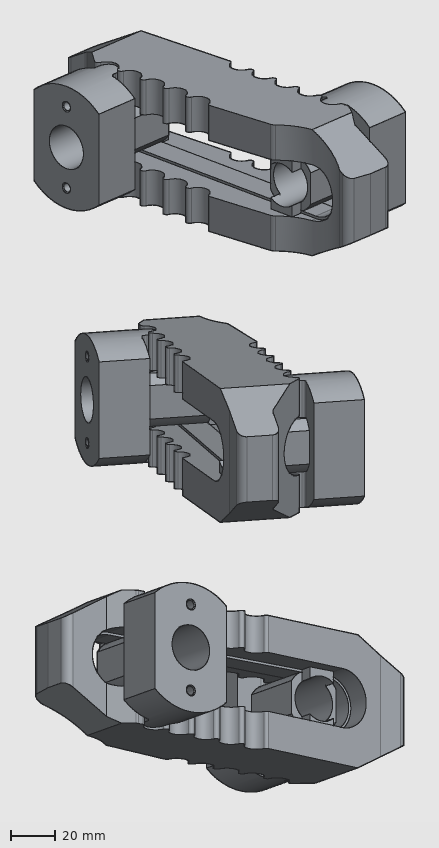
import cadquery as cq
import math


ARM_LENGTH = 187.0
ARM_HEIGHT = 62.0
ARM_HALF_WIDTH = 21.1
ARM_END = ARM_LENGTH / 2

GROOVE_RADIUS = 5.52
GROOVE_DEPTH = 5.2
GROOVE_PITCH = 14.0
GROOVE_COUNT = 5
NUT_OFFSET_X = 49.5

LEFT_TOP_Y = 17.5
LEFT_BOTTOM_Y = -2.0
TOP_TAPER_X = -78.5
LEFT_SLOPE_ANGLE = 40.0
LEFT_SLOPE_ROUND = 3.2

RIGHT_TOP_Y = 13.0
RIGHT_SLOPE_TOP_X = 59.7
RIGHT_SLOPE_FOOT_X = 70.9
RIGHT_SLOPE_ROUND = 1.9
END_TAPER_Y = -0.7
TOE_X = 92.2
TOE_Y = -14.0
TOE_INNER_ROUND = 2.5
HOLLOW_X = 70.1
HOLLOW_RADIUS = 30.0
HOLLOW_TOP_Y = -8.8
HOLLOW_START_X = 49.0
HOLLOW_START_ROUND = 3.7
END_ROUND = 4.0

TAPER_START_X = 65.5
END_HALF_HEIGHT = 15.1

SLOT_WIDTH = 25.0
SLOT_WIDE_WIDTH = 27.5
SLOT_LEFT_X = -56.5
SLOT_RIGHT_X = 65.0
LIP_HALF_WIDTH = 6.4

HEAD_DIAMETER = 60.0
HEAD_WIDTH = 40.0
OVERALL_WIDTH = 96.0
HEAD_OUTER_Y = OVERALL_WIDTH / 2
HEAD_INNER_Y = 24.3
RIB_FILLET = 1.5
PIN_WIDTH = 24.7
PIN_DIAMETER = 29.2
HOOK_WIDTH = 13.0
HOOK_LENGTH = 6.0
BORE_DIAMETER = 21.0
SCREW_HOLE_DIAMETER = 4.1
SCREW_HOLE_DEPTH = 9.4
SCREW_HOLE_OFFSET = 20.0
SCREW_SINK_DIAMETER = 5.0
SCREW_SINK_ANGLE = 90.0
DRILL_POINT_ANGLE = 118.0

GROOVE_BOTTOM_Y = ARM_HALF_WIDTH - GROOVE_DEPTH
GROOVE_CENTER_Y = GROOVE_BOTTOM_Y + GROOVE_RADIUS
HALF_PITCH = GROOVE_PITCH / 2
CREST_DROP = GROOVE_CENTER_Y - ARM_HALF_WIDTH
CREST_RADIUS = (HALF_PITCH**2 + CREST_DROP**2 - GROOVE_RADIUS**2) / (2 * (GROOVE_RADIUS - CREST_DROP))
CREST_CENTER_Y = ARM_HALF_WIDTH - CREST_RADIUS
CREST_ARC_ANGLE = math.atan2(HALF_PITCH, GROOVE_CENTER_Y - CREST_CENTER_Y)

OUTER_CREST_OFFSET = NUT_OFFSET_X + HALF_PITCH
BOTTOM_TEETH_LEFT_X = -OUTER_CREST_OFFSET
TOP_TEETH_RIGHT_X = OUTER_CREST_OFFSET


def crest_point(apex_x, side, angle):
    """Point on a crest arc, at an angle in radians from its apex toward +X."""
    x = apex_x + CREST_RADIUS * math.sin(angle)
    y = CREST_CENTER_Y + CREST_RADIUS * math.cos(angle)
    return (x, side * y)


def add_teeth(outline, side, first_apex_x, direction):
    """Extend an outline by all grooves of one side, from crest apex to crest apex.

    side is 1 for the +Y side and -1 for the -Y side; direction is 1 toward +X, -1 toward -X.
    """
    turn = direction * CREST_ARC_ANGLE
    for index in range(GROOVE_COUNT):
        start_x = first_apex_x + direction * index * GROOVE_PITCH
        end_x = start_x + direction * GROOVE_PITCH
        groove_bottom = (start_x + direction * HALF_PITCH, side * GROOVE_BOTTOM_Y)
        outline = (
            outline.threePointArc(crest_point(start_x, side, turn / 2), crest_point(start_x, side, turn))
            .threePointArc(groove_bottom, crest_point(end_x, side, -turn))
            .threePointArc(crest_point(end_x, side, -turn / 2), crest_point(end_x, side, 0))
        )
    return outline


def arm_blank():
    """Toothed outline extruded over the arm's height, with its corners rounded."""
    slope_angle = math.radians(LEFT_SLOPE_ANGLE)
    slope_foot = crest_point(BOTTOM_TEETH_LEFT_X, -1, -slope_angle)
    slope_head_x = slope_foot[0] - (LEFT_BOTTOM_Y - slope_foot[1]) / math.tan(slope_angle)
    slope_head = (slope_head_x, LEFT_BOTTOM_Y)
    hollow_center_y = HOLLOW_TOP_Y - HOLLOW_RADIUS
    hollow_start_rise = math.sqrt(HOLLOW_RADIUS**2 - (HOLLOW_X - HOLLOW_START_X) ** 2)
    hollow_start = (HOLLOW_START_X, hollow_center_y + hollow_start_rise)
    toe_inner_x = HOLLOW_X + math.sqrt(HOLLOW_RADIUS**2 - (TOE_Y - hollow_center_y) ** 2)
    toe_inner = (toe_inner_x, TOE_Y)
    toe_outer = (TOE_X, TOE_Y)
    slope_top = (RIGHT_SLOPE_TOP_X, ARM_HALF_WIDTH)

    outline = (
        cq.Workplane("XY", origin=(0, 0, -ARM_HEIGHT / 2))
        .moveTo(-ARM_END, LEFT_TOP_Y)
        .lineTo(-ARM_END, LEFT_BOTTOM_Y)
        .lineTo(*slope_head)
        .lineTo(*slope_foot)
        .threePointArc(
            crest_point(BOTTOM_TEETH_LEFT_X, -1, -slope_angle / 2),
            crest_point(BOTTOM_TEETH_LEFT_X, -1, 0),
        )
    )
    outline = add_teeth(outline, -1, BOTTOM_TEETH_LEFT_X, 1)
    outline = (
        outline.lineTo(*hollow_start)
        .threePointArc((HOLLOW_X, HOLLOW_TOP_Y), toe_inner)
        .lineTo(*toe_outer)
        .lineTo(ARM_END, END_TAPER_Y)
        .lineTo(ARM_END, RIGHT_TOP_Y)
        .lineTo(RIGHT_SLOPE_FOOT_X, RIGHT_TOP_Y)
        .lineTo(*slope_top)
        .lineTo(TOP_TEETH_RIGHT_X, ARM_HALF_WIDTH)
    )
    outline = add_teeth(outline, 1, TOP_TEETH_RIGHT_X, -1)
    blank = outline.lineTo(TOP_TAPER_X, LEFT_TOP_Y).close().extrude(ARM_HEIGHT)

    rounded_corners = [
        ((-ARM_END, LEFT_TOP_Y), END_ROUND),
        ((-ARM_END, LEFT_BOTTOM_Y), END_ROUND),
        (slope_head, LEFT_SLOPE_ROUND),
        (hollow_start, HOLLOW_START_ROUND),
        (toe_inner, TOE_INNER_ROUND),
        (toe_outer, END_ROUND),
        ((ARM_END, RIGHT_TOP_Y), END_ROUND),
        (slope_top, RIGHT_SLOPE_ROUND),
    ]
    for (x, y), radius in rounded_corners:
        blank = blank.edges(cq.selectors.NearestToPointSelector((x, y, 0))).fillet(radius)
    return blank


def arm_taper_block():
    """Block with both ends tapered in height, over the arm's full width."""
    half_height = ARM_HEIGHT / 2
    return (
        cq.Workplane("XZ")
        .polyline([
            (-ARM_END, -END_HALF_HEIGHT),
            (-TAPER_START_X, -half_height),
            (TAPER_START_X, -half_height),
            (ARM_END, -END_HALF_HEIGHT),
            (ARM_END, END_HALF_HEIGHT),
            (TAPER_START_X, half_height),
            (-TAPER_START_X, half_height),
            (-ARM_END, END_HALF_HEIGHT),
        ])
        .close()
        .extrude(ARM_HALF_WIDTH, both=True)
    )


def slot_cutter(width, start_y, end_y):
    """Slot of a given width between two Y planes."""
    center_x = (SLOT_LEFT_X + SLOT_RIGHT_X) / 2
    full_length = SLOT_RIGHT_X - SLOT_LEFT_X + width
    return (
        cq.Workplane("XZ", origin=(center_x, end_y, 0))
        .slot2D(full_length, width)
        .extrude(end_y - start_y)
    )


def make_arm():
    arm = arm_blank().intersect(arm_taper_block())
    arm = arm.cut(slot_cutter(SLOT_WIDTH, -ARM_HALF_WIDTH, ARM_HALF_WIDTH))
    arm = arm.cut(slot_cutter(SLOT_WIDE_WIDTH, -ARM_HALF_WIDTH, -LIP_HALF_WIDTH))
    return arm.cut(slot_cutter(SLOT_WIDE_WIDTH, LIP_HALF_WIDTH, ARM_HALF_WIDTH))


def nut_head():
    """Round head with two flats, drilled for two screws in its outer face."""
    head_thickness = HEAD_OUTER_Y - HEAD_INNER_Y
    head = cq.Workplane("XZ", origin=(0, -HEAD_INNER_Y, 0)).circle(HEAD_DIAMETER / 2).extrude(head_thickness)
    flats = cq.Workplane("XY").box(HEAD_WIDTH, 2 * HEAD_OUTER_Y, HEAD_DIAMETER)
    head = head.intersect(flats)

    hole_radius = SCREW_HOLE_DIAMETER / 2
    sink_radius = SCREW_SINK_DIAMETER / 2
    sink_depth = (sink_radius - hole_radius) / math.tan(math.radians(SCREW_SINK_ANGLE / 2))
    point_length = hole_radius / math.tan(math.radians(DRILL_POINT_ANGLE / 2))
    screw_hole = (
        cq.Workplane("XY")
        .polyline([
            (0, 0),
            (sink_radius, 0),
            (hole_radius, sink_depth),
            (hole_radius, SCREW_HOLE_DEPTH),
            (0, SCREW_HOLE_DEPTH + point_length),
        ])
        .close()
        .revolve(360, (0, 0, 0), (0, 1, 0))
    )
    for z in (-SCREW_HOLE_OFFSET, SCREW_HOLE_OFFSET):
        head = head.cut(screw_hole.translate((0, -HEAD_OUTER_Y, z)))
    return head


def nut_rib():
    """Round-nosed rib that fills one groove, blended into the head with fillets."""
    foot_x = GROOVE_RADIUS + RIB_FILLET
    flank_y = -HEAD_INNER_Y + RIB_FILLET
    rib = (
        cq.Workplane("XY", origin=(0, 0, -HEAD_DIAMETER / 2))
        .moveTo(-foot_x, -HEAD_INNER_Y)
        .radiusArc((-GROOVE_RADIUS, flank_y), -RIB_FILLET)
        .lineTo(-GROOVE_RADIUS, -GROOVE_CENTER_Y)
        .threePointArc((0, -GROOVE_BOTTOM_Y), (GROOVE_RADIUS, -GROOVE_CENTER_Y))
        .lineTo(GROOVE_RADIUS, flank_y)
        .radiusArc((foot_x, -HEAD_INNER_Y), -RIB_FILLET)
        .close()
        .extrude(HEAD_DIAMETER)
    )
    round_ends = cq.Workplane("XZ").circle(HEAD_DIAMETER / 2).extrude(HEAD_OUTER_Y)
    return rib.intersect(round_ends)


def nut_pin():
    """Square pin with rounded corners, ending in hooks that reach behind the slot's lip."""
    pin_length = HEAD_INNER_Y + LIP_HALF_WIDTH
    pin = cq.Workplane("XZ", origin=(0, LIP_HALF_WIDTH, 0)).circle(PIN_DIAMETER / 2).extrude(pin_length)
    pin = pin.intersect(cq.Workplane("XY").box(PIN_WIDTH, 2 * HEAD_INNER_Y, PIN_WIDTH))
    hooks = (
        cq.Workplane("XY", origin=(0, LIP_HALF_WIDTH + HOOK_LENGTH / 2, 0))
        .box(HOOK_WIDTH, HOOK_LENGTH, SLOT_WIDE_WIDTH)
    )
    return pin.union(hooks)


def make_nut():
    """Nut for the -Y side, with its bore on the Y axis."""
    hook_end_y = LIP_HALF_WIDTH + HOOK_LENGTH
    bore = (
        cq.Workplane("XZ", origin=(0, hook_end_y, 0))
        .circle(BORE_DIAMETER / 2)
        .extrude(hook_end_y + HEAD_OUTER_Y)
    )
    return nut_head().union(nut_rib()).union(nut_pin()).cut(bore)


arm = make_arm()

nuts = []
for turn in (0, 180):
    nut = make_nut().translate((-NUT_OFFSET_X, 0, 0)).rotate((0, 0, 0), (0, 0, 1), turn)
    nuts.append(nut.val())

result = cq.Compound.makeCompound([arm.val(), *nuts])